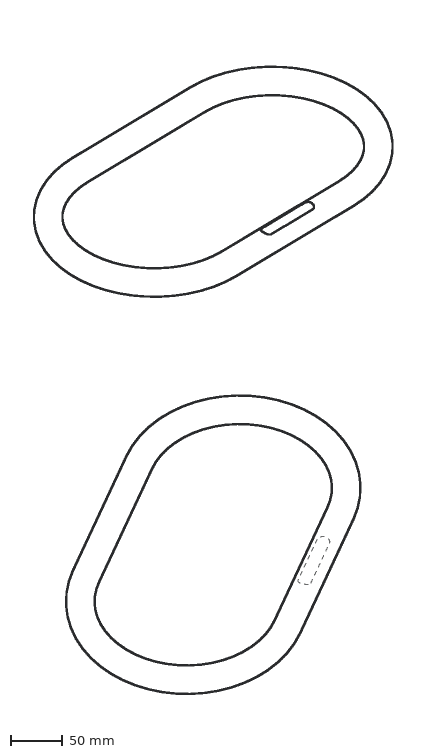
import cadquery as cq
import math

length = 396.0
width = 236.0
wire_diameter = 28.0

flat_width = 13.0
flat_length = 56.2
runout_radius = 8.5

wire_radius = wire_diameter / 2
bend_radius = (width - wire_diameter) / 2
half_straight = (length - width) / 2

flat_height = math.sqrt(wire_radius**2 - (flat_width / 2) ** 2)


def make_leg(x):
    """Straight round bar parallel to Y."""
    return (
        cq.Workplane("XZ", origin=(x, half_straight, 0))
        .circle(wire_radius)
        .extrude(2 * half_straight)
    )


def make_bend(side):
    """Half-ring closing the link at its +Y (side=1) or -Y (side=-1) end."""
    return (
        cq.Workplane("XZ", origin=(0, side * half_straight, 0))
        .center(side * bend_radius, 0)
        .circle(wire_radius)
        .revolve(180, (-side * bend_radius, 0, 0), (-side * bend_radius, 1, 0))
    )


def make_flat_cutter():
    """Level floor across the leg, with ends curving up past the wire's crown."""
    half_flat = flat_length / 2
    half_overall = half_flat + runout_radius
    top = flat_height + runout_radius
    return (
        cq.Workplane("YZ", origin=(bend_radius, 0, 0))
        .moveTo(-half_flat, flat_height)
        .lineTo(half_flat, flat_height)
        .tangentArcPoint((half_overall, top), relative=False)
        .lineTo(-half_overall, top)
        .radiusArc((-half_flat, flat_height), -runout_radius)
        .close()
        .extrude(wire_radius, both=True)
    )


link = make_leg(bend_radius).union(make_leg(-bend_radius))
for end_side in (1, -1):
    link = link.union(make_bend(end_side))

result = link.cut(make_flat_cutter())